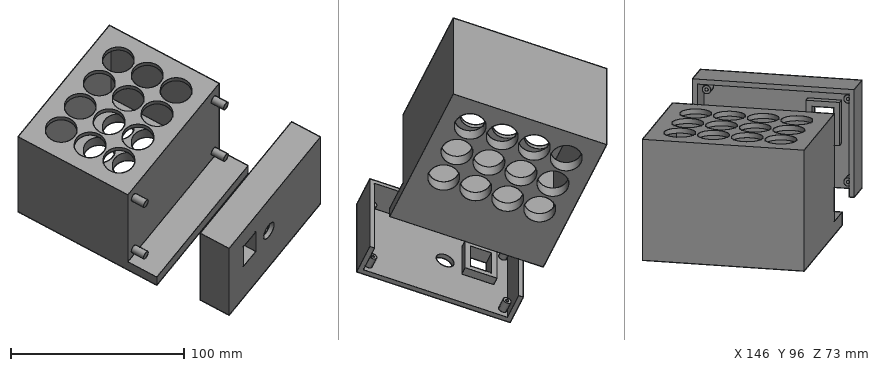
import cadquery as cq

WIDTH = 96.0
HEIGHT = 73.0
WALL = 3.0

BOX_LENGTH = 76.0
LEDGE_LENGTH = 20.0
FLOOR_THICKNESS = 8.0

OPENING_DIAMETER = 18.35
OPENING_PITCH = 20.0
OPENING_COLUMNS = 3
OPENING_ROWS = 4

POST_DIAMETER = 5.0
POST_EDGE_DISTANCE = 6.0
POST_LOW_Z = 14.0
POST_HIGH_Z = 64.0
BOX_POST_LENGTH = 8.5
COVER_POST_LENGTH = 7.0
SCREW_HOLE_DIAMETER = 1.88

COVER_START_X = 126.0
COVER_DEPTH = LEDGE_LENGTH
COVER_END_X = COVER_START_X + COVER_DEPTH
COVER_FLOOR_X = COVER_END_X - WALL

JACK_DIAMETER = 11.0
JACK_Y = 41.9
JACK_Z = 42.85

WINDOW_WIDTH = 13.0
WINDOW_HEIGHT = 19.0
WINDOW_MAX_Y = 28.0
WINDOW_MIN_Z = 38.5
FRAME_WALL = 3.5
FRAME_RISE = 5.0


def block(x_min, x_max, y_min, y_max, z_min, z_max):
    """Rectangular block between the given limits."""
    size = (x_max - x_min, y_max - y_min, z_max - z_min)
    return cq.Workplane("XY").box(*size, centered=False).translate((x_min, y_min, z_min))


def rods(x_min, x_max, diameter, centres):
    """Cylinders along X on the given (y, z) centres."""
    face = cq.Workplane("YZ", origin=(x_min, 0, 0))
    return face.pushPoints(centres).circle(diameter / 2).extrude(x_max - x_min)


POST_CENTRES = [
    (y, z)
    for y in (POST_EDGE_DISTANCE, WIDTH - POST_EDGE_DISTANCE)
    for z in (POST_LOW_Z, POST_HIGH_Z)
]


def openings(z_min, z_max):
    """Grid of upright cylinders that cut the round openings through one plate."""
    return (
        cq.Workplane("XY", origin=(BOX_LENGTH / 2, WIDTH / 2, z_min))
        .rarray(OPENING_PITCH, OPENING_PITCH, OPENING_COLUMNS, OPENING_ROWS)
        .circle(OPENING_DIAMETER / 2)
        .extrude(z_max - z_min)
    )


def make_box():
    """Hollow box with round openings in its top and floor, a ledge and posts."""
    body = block(0, BOX_LENGTH, 0, WIDTH, 0, HEIGHT)
    top_underside = HEIGHT - WALL
    body = body.cut(
        block(WALL, BOX_LENGTH - WALL, WALL, WIDTH - WALL, FLOOR_THICKNESS, top_underside)
    )
    body = body.cut(openings(top_underside, HEIGHT))
    body = body.cut(openings(0, FLOOR_THICKNESS))
    body = body.union(block(BOX_LENGTH, BOX_LENGTH + LEDGE_LENGTH, 0, WIDTH, 0, FLOOR_THICKNESS))
    return body.union(rods(BOX_LENGTH, BOX_LENGTH + BOX_POST_LENGTH, POST_DIAMETER, POST_CENTRES))


def make_cover():
    """Shell open towards the box and below, with a window, a hole and bored posts."""
    body = block(COVER_START_X, COVER_END_X, 0, WIDTH, FLOOR_THICKNESS, HEIGHT)
    body = body.cut(
        block(COVER_START_X, COVER_FLOOR_X, WALL, WIDTH - WALL, FLOOR_THICKNESS, HEIGHT - WALL)
    )

    y_min = WINDOW_MAX_Y - WINDOW_WIDTH
    z_max = WINDOW_MIN_Z + WINDOW_HEIGHT
    frame_x = COVER_FLOOR_X - FRAME_RISE
    frame = block(
        frame_x, COVER_FLOOR_X,
        y_min - FRAME_WALL, WINDOW_MAX_Y + FRAME_WALL,
        WINDOW_MIN_Z - FRAME_WALL, z_max + FRAME_WALL,
    )
    window = block(frame_x, COVER_END_X, y_min, WINDOW_MAX_Y, WINDOW_MIN_Z, z_max)
    body = body.union(frame).cut(window)

    body = body.cut(rods(COVER_FLOOR_X, COVER_END_X, JACK_DIAMETER, [(JACK_Y, JACK_Z)]))

    post_tip_x = COVER_FLOOR_X - COVER_POST_LENGTH
    body = body.union(rods(post_tip_x, COVER_FLOOR_X, POST_DIAMETER, POST_CENTRES))
    return body.cut(rods(post_tip_x, COVER_FLOOR_X, SCREW_HOLE_DIAMETER, POST_CENTRES))


box = make_box()
cover = make_cover()

result = cq.Compound.makeCompound([box.val(), cover.val()])